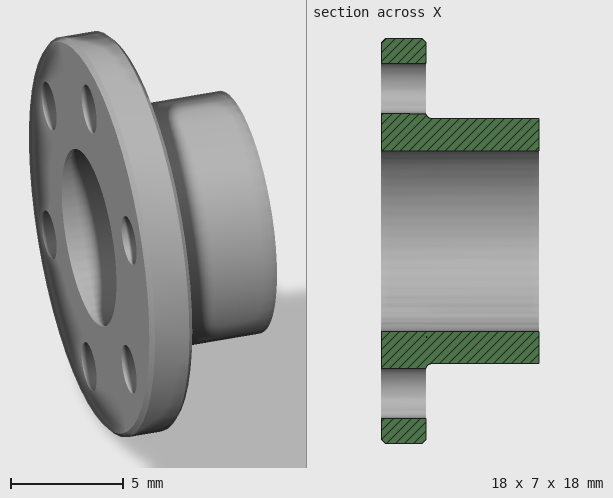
import cadquery as cq

flange_diameter = 18.0
flange_thickness = 2.0
total_length = 7.0
hub_diameter = 10.9
bore_diameter = 8.0
edge_chamfer = 0.2
root_fillet = 0.2

bolt_hole_count = 6
bolt_hole_diameter = 2.2
bolt_circle_diameter = 13.5
first_hole_angle = 90.0


def along_y():
    """Workplane on the flange face whose normal points toward the hub (+Y)."""
    return cq.Workplane("XZ").transformed(rotate=(180, 0, 0))


def make_flange():
    disc = along_y().circle(flange_diameter / 2).extrude(flange_thickness)
    return disc.edges().chamfer(edge_chamfer)


def make_hub():
    return along_y().circle(hub_diameter / 2).extrude(total_length)


def add_root_fillet(body):
    """Round the inside corner where the hub meets the flange."""
    flange_back = body.faces(">Y[-2]")
    hub_corner = flange_back.edges(cq.selectors.RadiusNthSelector(0))
    return hub_corner.fillet(root_fillet)


def make_bore():
    return along_y().circle(bore_diameter / 2).extrude(total_length)


def make_bolt_holes():
    return (
        along_y()
        .polarArray(bolt_circle_diameter / 2, first_hole_angle, 360, bolt_hole_count)
        .circle(bolt_hole_diameter / 2)
        .extrude(flange_thickness)
    )


body = add_root_fillet(make_flange().union(make_hub()))
result = body.cut(make_bore()).cut(make_bolt_holes())